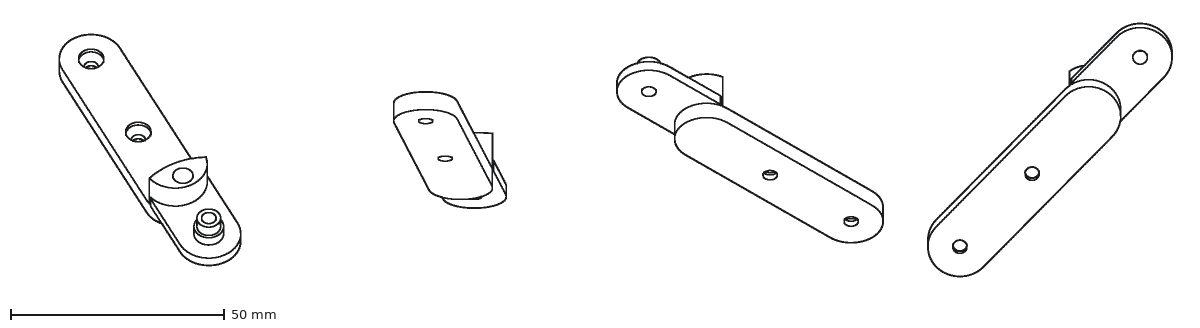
import cadquery as cq
import math

total_length = 77.5
width = 15.0
total_height = 13.7
end_radius = width / 2

bar_length = 59.7
bar_thickness = 4.5
bar_end_x = bar_length - end_radius

screw_spacing = 25.0
screw_positions = [end_radius, end_radius + screw_spacing]
screw_diameter = 3.3
head_diameter = 6.0
head_recess = 1.0
countersink_depth = 1.9

post_back_x = 51.9
post_tip_x = 53.5
post_hole_diameter = 4.7
post_hole_x = 56.3
post_hole_depth = total_height - bar_thickness

plate_top = 7.2
plate_start_x = 53.9
plate_corner_x = 54.4
plate_end_x = total_length - end_radius

collar_diameter = 7
collar_top = 9.85
pin_diameter = 5.6
pin_top = 12.9
pin_bore = 3.4


def half_width_on_bar_end(x):
    """Y of the bar's rounded end at the given X."""
    return math.sqrt(end_radius**2 - (x - bar_end_x) ** 2)


def cylinder(x, diameter, bottom, top):
    """Upright cylinder on the centre line."""
    return cq.Workplane("XY", origin=(x, 0, bottom)).circle(diameter / 2).extrude(top - bottom)


def make_bar():
    return (
        cq.Workplane("XY")
        .center(bar_length / 2, 0)
        .slot2D(bar_length, width)
        .extrude(bar_thickness)
    )


def make_post():
    tip_y = half_width_on_bar_end(post_tip_x)
    return (
        cq.Workplane("XY", origin=(0, 0, bar_thickness))
        .moveTo(post_tip_x, -tip_y)
        .threePointArc((bar_length, 0), (post_tip_x, tip_y))
        .threePointArc((post_back_x, 0), (post_tip_x, -tip_y))
        .close()
        .extrude(total_height - bar_thickness)
    )


def make_plate():
    start_y = half_width_on_bar_end(plate_start_x)
    return (
        cq.Workplane("XY", origin=(0, 0, bar_thickness))
        .moveTo(plate_start_x, -start_y)
        .lineTo(plate_corner_x, -end_radius)
        .lineTo(plate_end_x, -end_radius)
        .threePointArc((total_length, 0), (plate_end_x, end_radius))
        .lineTo(plate_corner_x, end_radius)
        .lineTo(plate_start_x, start_y)
        .close()
        .extrude(plate_top - bar_thickness)
    )


def make_screw_hole(x):
    """Through hole with a conical seat below a short straight recess."""
    seat_top = bar_thickness - head_recess
    seat_bottom = seat_top - countersink_depth
    return (
        cq.Workplane("XZ")
        .lineTo(screw_diameter / 2, 0)
        .lineTo(screw_diameter / 2, seat_bottom)
        .lineTo(head_diameter / 2, seat_top)
        .lineTo(head_diameter / 2, bar_thickness)
        .lineTo(0, bar_thickness)
        .close()
        .revolve(360, (0, 0), (0, 1))
        .translate((x, 0, 0))
    )


result = make_bar().union(make_post()).union(make_plate())
result = result.union(cylinder(plate_end_x, collar_diameter, plate_top, collar_top))
result = result.union(cylinder(plate_end_x, pin_diameter, collar_top, pin_top))

result = result.cut(cylinder(plate_end_x, pin_bore, bar_thickness, pin_top))
result = result.cut(
    cylinder(post_hole_x, post_hole_diameter, total_height - post_hole_depth, total_height)
)
for screw_x in screw_positions:
    result = result.cut(make_screw_hole(screw_x))